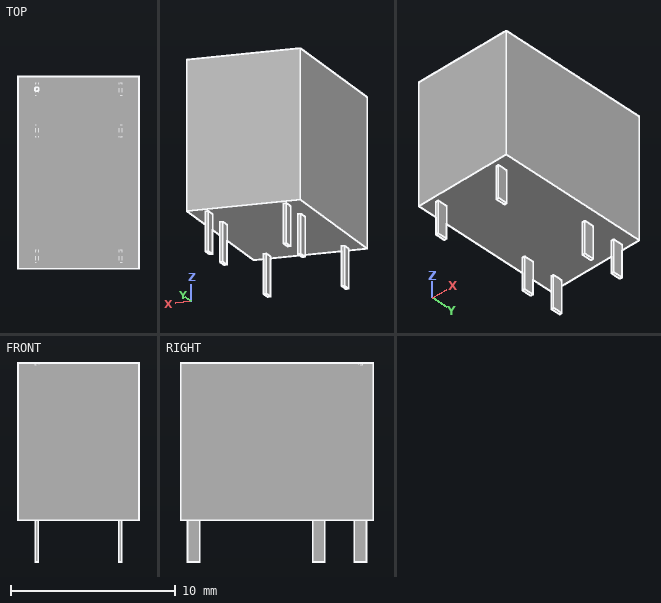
import cadquery as cq

housing_width = 7.39
housing_length = 11.73
overall_height = 12.14
pin_length = 2.54
housing_height = overall_height - pin_length

grid_pitch = 2.54
pin_thickness = 0.20
pin_width = 0.75
pin_columns_x = [-grid_pitch, grid_pitch]
pin_rows_y = [-2 * grid_pitch, grid_pitch, 2 * grid_pitch]

marker_diameter = 0.25
marker_depth = 0.10
marker_x = pin_columns_x[0]
marker_y = pin_rows_y[-1]


def make_marker():
    """Disc whose upper face is level with the housing top."""
    return (
        cq.Workplane("XY", origin=(marker_x, marker_y, housing_height))
        .circle(marker_diameter / 2)
        .extrude(-marker_depth)
    )


def make_housing():
    """Plain block with a recess that holds the marker."""
    block = cq.Workplane("XY").rect(housing_width, housing_length).extrude(housing_height)
    return block.cut(make_marker())


def make_pin(x, y):
    """Flat pin hanging from the housing underside."""
    return cq.Workplane("XY", origin=(x, y, 0)).rect(pin_thickness, pin_width).extrude(-pin_length)


housing = make_housing()
marker = make_marker()
pins = [make_pin(x, y) for x in pin_columns_x for y in pin_rows_y]

result = cq.Compound.makeCompound([housing.val(), marker.val(), *[pin.val() for pin in pins]])